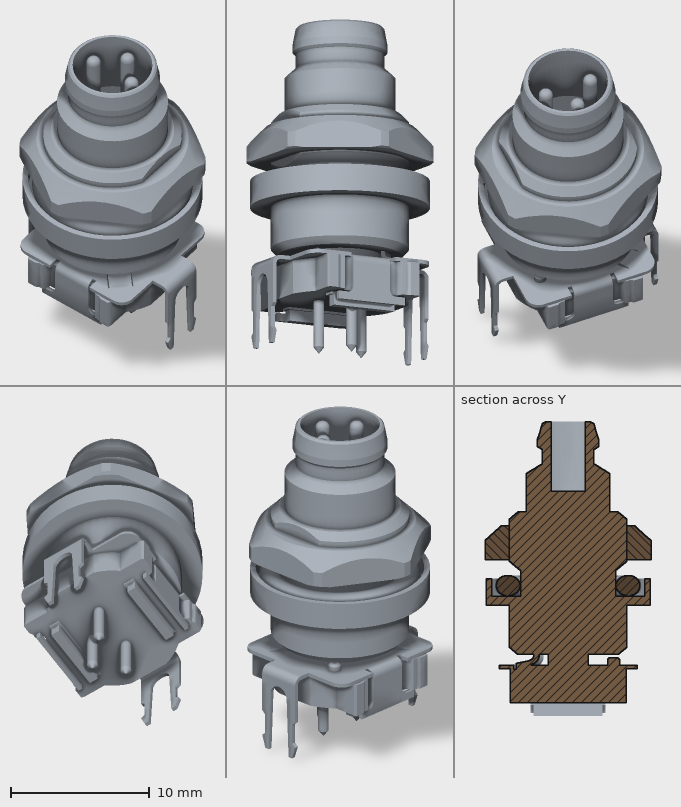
import cadquery as cq
import math

Z_AXIS = ((0, 0, 0), (0, 0, 1))

TOP = 24.15
RIM_EDGE = 24.0
LEAD_IN_END = 22.87
COLLAR_BOTTOM = 22.35
GROOVE_TOP = 22.12
GROOVE_BOTTOM = 21.1
SPIGOT_TOP = 20.38
THREAD_TOP = 17.65
NUT_TOP = 16.65
NUT_BOTTOM = 14.18
THREAD_BOTTOM = 14.08
FLANGE_TOP = 12.85
FLANGE_BOTTOM = 10.9
BARREL_BOTTOM = 7.37
PLATE_TOP = 6.6
INSERT_BOTTOM = 3.86
SOCKET_FLOOR = 19.15

RIM_TOP_RADIUS = 3.07
RIM_RADIUS = 3.2
COLLAR_RADIUS = 3.43
SPIGOT_RADIUS = 4.0
SOCKET_RADIUS = 2.87
THREAD_RADIUS = 5.0
THREAD_TOP_RADIUS = 4.45
THREAD_FLAT = 4.5
RELIEF_RADIUS = 4.32
FLANGE_RADIUS = 6.5
BARREL_CHAMFER = 0.5
NECK_RADIUS = 3.0

RING_SECTION_RADIUS = 0.75
RING_CENTER_RADIUS = RELIEF_RADIUS + RING_SECTION_RADIUS
RING_RISE = 0.22
RING_CENTER_Z = FLANGE_TOP + RING_RISE - RING_SECTION_RADIUS
RING_GROOVE_RADIUS = 6.09

NUT_ACROSS_FLATS = 12.0
NUT_ACROSS_CORNERS = 13.5
NUT_CORNER_RADIUS = NUT_ACROSS_CORNERS / 2
NUT_TOP_RADIUS = 5.48
NUT_BOTTOM_RADIUS = 6.5
NUT_BOTTOM_CHAMFER = 0.1

PIN_OFFSET = 1.75
PIN_PLACES = [(-PIN_OFFSET, 0), (0, PIN_OFFSET), (PIN_OFFSET, 0)]
CONTACT_RADIUS = 0.5
CONTACT_ROUND = 0.43
CONTACT_TOP = 23.8
TAIL_RADIUS = 0.39
TAIL_CONE_TOP = 0.48

SHEET = 0.3
BEND_RADIUS = 0.6
PLATE_HALF = 5.0
PLATE_CORNER = 1.0
PLATE_BOTTOM = PLATE_TOP - SHEET
LEG_OUTER = 6.4
LEG_HALF_WIDTH = 1.65
FLAP_OUTER = 4.78
FLAP_HALF_WIDTH = 1.5
FLAP_BAR_HALF_WIDTH = 2.7
FLAP_BAR_TOP = 3.72
FLAP_BOTTOM = 3.15
FLAP_FILLET = 0.45
FLAP_NOTCH_HALF_WIDTH = 1.8
TONGUE_HALF_WIDTH = 0.82
TONGUE_BASE_RADIUS = 4.95
TONGUE_WALL_OUTER = 3.6
TONGUE_WALL_INNER = TONGUE_WALL_OUTER - SHEET

INSERT_RADIUS = 4.95
INSERT_SIDE_FLAT = 4.7
INSERT_HALF_X = 3.77
INSERT_HALF_Y = 5.22


def ring_of_steps(points):
    """Solid of revolution about Z from (radius, z) points."""
    return cq.Workplane("XZ").polyline(points).close().revolve(360, (0, 0, 0), (0, 1, 0))


def cylinder(radius, bottom, top):
    return cq.Workplane("XY").workplane(offset=bottom).circle(radius).extrude(top - bottom)


def block(half_x, half_y, bottom, top):
    return (
        cq.Workplane("XY").workplane(offset=bottom)
        .rect(2 * half_x, 2 * half_y).extrude(top - bottom)
    )


def threaded_section():
    """Chamfered thread cylinder with two flats facing -X and +X."""
    thread = ring_of_steps([
        (0, THREAD_TOP),
        (THREAD_TOP_RADIUS, THREAD_TOP),
        (THREAD_RADIUS, THREAD_TOP - (THREAD_RADIUS - THREAD_TOP_RADIUS)),
        (THREAD_RADIUS, THREAD_BOTTOM),
        (RELIEF_RADIUS, THREAD_BOTTOM - (THREAD_RADIUS - RELIEF_RADIUS)),
        (0, THREAD_BOTTOM - (THREAD_RADIUS - RELIEF_RADIUS)),
    ])
    return thread.intersect(block(THREAD_FLAT, THREAD_RADIUS, FLANGE_TOP, THREAD_TOP))


def shell():
    """Plug spigot, threaded section, flange with ring groove, barrel and neck."""
    spigot = ring_of_steps([
        (0, TOP),
        (RIM_TOP_RADIUS, TOP),
        (RIM_RADIUS, RIM_EDGE),
        (COLLAR_RADIUS, LEAD_IN_END),
        (COLLAR_RADIUS, COLLAR_BOTTOM),
        (RIM_RADIUS, GROOVE_TOP),
        (RIM_RADIUS, GROOVE_BOTTOM),
        (SPIGOT_RADIUS, SPIGOT_TOP),
        (SPIGOT_RADIUS, THREAD_TOP),
        (0, THREAD_TOP),
    ])
    base = ring_of_steps([
        (0, THREAD_BOTTOM),
        (RELIEF_RADIUS, THREAD_BOTTOM),
        (RELIEF_RADIUS, RING_CENTER_Z - RING_SECTION_RADIUS),
        (RING_GROOVE_RADIUS, RING_CENTER_Z - RING_SECTION_RADIUS),
        (RING_GROOVE_RADIUS, FLANGE_TOP),
        (FLANGE_RADIUS, FLANGE_TOP),
        (FLANGE_RADIUS, FLANGE_BOTTOM),
        (THREAD_RADIUS, FLANGE_BOTTOM),
        (THREAD_RADIUS, BARREL_BOTTOM + BARREL_CHAMFER),
        (THREAD_RADIUS - BARREL_CHAMFER, BARREL_BOTTOM),
        (NECK_RADIUS, BARREL_BOTTOM),
        (NECK_RADIUS, PLATE_BOTTOM),
        (0, PLATE_BOTTOM),
    ])
    socket = cylinder(SOCKET_RADIUS, SOCKET_FLOOR, TOP)
    return spigot.union(threaded_section()).union(base).cut(socket)


def contacts():
    """Three domed plug pins in the socket, each with a pointed solder tail."""
    parts = cq.Workplane("XY")
    for place in PIN_PLACES:
        plug = (
            cylinder(CONTACT_RADIUS, SOCKET_FLOOR, CONTACT_TOP)
            .faces(">Z").edges().fillet(CONTACT_ROUND)
        )
        tail = ring_of_steps([
            (0, 0), (TAIL_RADIUS, TAIL_CONE_TOP),
            (TAIL_RADIUS, PLATE_BOTTOM), (0, PLATE_BOTTOM),
        ])
        for piece in (plug, tail):
            parts = parts.add(piece.translate((*place, 0)))
    return parts


def bent_strip(outer_face, half_width, bottom):
    """Strip that leaves the plate toward +Y and bends down to the given level."""
    bend_start = outer_face - BEND_RADIUS
    bend_end = PLATE_TOP - BEND_RADIUS
    inner_bend = BEND_RADIUS - SHEET
    diagonal = math.sqrt(0.5)
    root = PLATE_HALF - PLATE_CORNER
    return (
        cq.Workplane("YZ").workplane(offset=-half_width)
        .moveTo(root, PLATE_TOP)
        .lineTo(bend_start, PLATE_TOP)
        .threePointArc(
            (bend_start + BEND_RADIUS * diagonal, bend_end + BEND_RADIUS * diagonal),
            (outer_face, bend_end),
        )
        .lineTo(outer_face, bottom)
        .lineTo(outer_face - SHEET, bottom)
        .lineTo(outer_face - SHEET, bend_end)
        .threePointArc(
            (bend_start + inner_bend * diagonal, bend_end + inner_bend * diagonal),
            (bend_start, PLATE_BOTTOM),
        )
        .lineTo(root, PLATE_BOTTOM)
        .close()
        .extrude(2 * half_width)
    )


def leg():
    """Forked board-lock leg, facing +Y: two prongs with a waist and a barb each."""
    bottom = 0.17
    barb_level = 1.1
    waist_bottom = 1.35
    waist_top = 2.83
    shoulder = 3.07
    waist_half_width = 1.35
    tip_half_width = 1.33
    slot_radius = 0.8
    slot_center_z = 4.64
    slot_foot_half_width = 1.0

    def outline(side):
        return [
            (side * LEG_HALF_WIDTH, shoulder),
            (side * waist_half_width, waist_top),
            (side * waist_half_width, waist_bottom),
            (side * LEG_HALF_WIDTH, barb_level),
            (side * tip_half_width, bottom),
        ]

    blank = (
        cq.Workplane("XZ")
        .polyline([
            (-LEG_HALF_WIDTH, PLATE_TOP), *outline(-1),
            *reversed(outline(1)), (LEG_HALF_WIDTH, PLATE_TOP),
        ])
        .close().extrude(-LEG_OUTER)
    )
    slot = (
        cq.Workplane("XZ")
        .moveTo(-slot_foot_half_width, bottom)
        .lineTo(-slot_radius, slot_center_z)
        .threePointArc((0, slot_center_z + slot_radius), (slot_radius, slot_center_z))
        .lineTo(slot_foot_half_width, bottom)
        .close().extrude(-LEG_OUTER)
    )
    return bent_strip(LEG_OUTER, LEG_HALF_WIDTH, bottom).intersect(blank.cut(slot))


def flap():
    """Shield flap facing +Y, widening into a crossbar at its foot."""
    outline = (
        cq.Workplane("XZ")
        .moveTo(-FLAP_HALF_WIDTH, PLATE_TOP)
        .lineTo(-FLAP_HALF_WIDTH, FLAP_BAR_TOP)
        .lineTo(-FLAP_BAR_HALF_WIDTH, FLAP_BAR_TOP)
        .lineTo(-FLAP_BAR_HALF_WIDTH, FLAP_BOTTOM)
        .lineTo(FLAP_BAR_HALF_WIDTH, FLAP_BOTTOM)
        .lineTo(FLAP_BAR_HALF_WIDTH, FLAP_BAR_TOP)
        .lineTo(FLAP_HALF_WIDTH, FLAP_BAR_TOP)
        .lineTo(FLAP_HALF_WIDTH, PLATE_TOP)
        .close().extrude(-FLAP_OUTER)
    )
    for side in (-1, 1):
        corner = (side * FLAP_HALF_WIDTH, FLAP_OUTER / 2, FLAP_BAR_TOP)
        outline = outline.edges(cq.NearestToPointSelector(corner)).fillet(FLAP_FILLET)
    return bent_strip(FLAP_OUTER, FLAP_BAR_HALF_WIDTH, FLAP_BOTTOM).intersect(outline)


def spring_tongue():
    """Tongue on the +X axis that ramps up from the plate and bends up to the barrel."""
    ramp_top = 6.98
    inside_bend = 0.4
    tongue = (
        cq.Workplane("XZ").workplane(offset=-TONGUE_HALF_WIDTH)
        .polyline([
            (TONGUE_BASE_RADIUS, PLATE_TOP),
            (TONGUE_WALL_OUTER, ramp_top),
            (TONGUE_WALL_OUTER, BARREL_BOTTOM),
            (TONGUE_WALL_INNER, BARREL_BOTTOM),
            (TONGUE_WALL_INNER, ramp_top - SHEET),
            (TONGUE_BASE_RADIUS, PLATE_BOTTOM),
        ])
        .close().extrude(2 * TONGUE_HALF_WIDTH)
    )
    bends = [
        (TONGUE_WALL_OUTER, ramp_top, inside_bend),
        (TONGUE_WALL_INNER, ramp_top - SHEET, inside_bend + SHEET),
    ]
    for radius, level, bend in bends:
        tongue = tongue.edges(cq.NearestToPointSelector((radius, 0, level))).fillet(bend)
    return tongue


def tongue_reliefs():
    """Slits through the plate along both sides of the tongue on the +X axis."""
    slit_width = 0.1
    slit_overrun = 0.15
    length = TONGUE_BASE_RADIUS + slit_overrun - TONGUE_WALL_INNER
    middle = TONGUE_WALL_INNER + length / 2
    offset = TONGUE_HALF_WIDTH + slit_width / 2
    return (
        cq.Workplane("XY").workplane(offset=PLATE_BOTTOM)
        .pushPoints([(middle, -offset), (middle, offset)])
        .rect(length, slit_width).extrude(SHEET)
    )


def shield():
    """Square plate with two forked legs, two flaps and two diagonal spring tongues."""
    plate = block(PLATE_HALF, PLATE_HALF, PLATE_BOTTOM, PLATE_TOP).edges("|Z").fillet(PLATE_CORNER)
    notch_start = FLAP_OUTER - BEND_RADIUS
    notch_depth = PLATE_HALF - notch_start
    notches = (
        cq.Workplane("XY").workplane(offset=PLATE_BOTTOM)
        .pushPoints([(0, side * (notch_start + notch_depth / 2)) for side in (-1, 1)])
        .rect(2 * FLAP_NOTCH_HALF_WIDTH, notch_depth).extrude(SHEET)
    )
    plate = plate.cut(notches)
    for turn in (0, 180):
        plate = (
            plate
            .union(flap().rotate(*Z_AXIS, turn))
            .union(leg().rotate(*Z_AXIS, turn + 90))
            .cut(tongue_reliefs().rotate(*Z_AXIS, turn - 45))
            .union(spring_tongue().rotate(*Z_AXIS, turn - 45))
        )
    return plate


def insert():
    """Insulating insert with flap recesses, foot ledges and two rivet studs."""
    edge_chamfer_x = 0.1
    edge_chamfer_y = 0.2
    chamfer_x = INSERT_HALF_X - edge_chamfer_x
    chamfer_y = INSERT_HALF_Y - edge_chamfer_y
    core = cylinder(INSERT_RADIUS, INSERT_BOTTOM, PLATE_BOTTOM).intersect(
        block(INSERT_SIDE_FLAT, INSERT_RADIUS, INSERT_BOTTOM, PLATE_BOTTOM)
    )
    ends = (
        cq.Workplane("XY").workplane(offset=INSERT_BOTTOM)
        .polyline([
            (-INSERT_HALF_X, -chamfer_y), (-chamfer_x, -INSERT_HALF_Y),
            (chamfer_x, -INSERT_HALF_Y), (INSERT_HALF_X, -chamfer_y),
            (INSERT_HALF_X, chamfer_y), (chamfer_x, INSERT_HALF_Y),
            (-chamfer_x, INSERT_HALF_Y), (-INSERT_HALF_X, chamfer_y),
        ])
        .close().extrude(PLATE_BOTTOM - INSERT_BOTTOM)
    )
    body = core.union(ends)
    for turn in (0, 180):
        body = (
            body.cut(flap_recess().rotate(*Z_AXIS, turn))
            .union(foot_ledge().rotate(*Z_AXIS, turn))
            .union(rivet_stud().rotate(*Z_AXIS, turn))
        )
    return body


def flap_recess():
    """Two-step recess with sloping walls behind the flap on the +Y side."""
    mouth = 2.97
    step_outer = 2.75
    step_inner = 2.4
    floor_half_width = 2.15
    step_depth = 0.15
    step_y = INSERT_HALF_Y - step_depth
    floor_y = FLAP_OUTER - SHEET
    return (
        cq.Workplane("XY").workplane(offset=INSERT_BOTTOM)
        .polyline([
            (-mouth, INSERT_HALF_Y), (-step_outer, step_y), (-step_inner, step_y),
            (-floor_half_width, floor_y), (floor_half_width, floor_y),
            (step_inner, step_y), (step_outer, step_y), (mouth, INSERT_HALF_Y),
        ])
        .close().extrude(PLATE_BOTTOM - INSERT_BOTTOM)
    )


def foot_ledge():
    """Stepped ledge under the insert on the +Y side, behind the flap crossbar."""
    ledge_outer = 3.65
    step_inner = 2.83
    foot_inner = 2.97
    step_bottom = 3.7
    foot_bottom = 2.9
    foot_half_width = 2.49
    step = block(FLAP_BAR_HALF_WIDTH, (ledge_outer - step_inner) / 2, step_bottom, INSERT_BOTTOM)
    foot = block(foot_half_width, (ledge_outer - foot_inner) / 2, foot_bottom, step_bottom)
    return step.translate((0, (ledge_outer + step_inner) / 2, 0)).union(
        foot.translate((0, (ledge_outer + foot_inner) / 2, 0))
    )


def rivet_stud():
    """Chamfered stud that passes up through the plate."""
    place = (3.28, 2.6, 0)
    radius = 0.45
    stud_top = 7.12
    chamfer = 0.15
    stud = cylinder(radius, PLATE_BOTTOM, stud_top).faces(">Z").edges().chamfer(chamfer)
    return stud.translate(place)


def make_connector():
    """Shell, insert, shield and contacts as one body."""
    connector = shell().union(insert()).union(shield())
    for piece in contacts().vals():
        connector = connector.union(cq.Workplane(piece))
    return connector


def make_nut():
    """Hexagon nut with flats facing -X and +X; its bore fits the flattened thread."""
    height = NUT_TOP - NUT_BOTTOM
    sides = 6
    half_side_angle = 180 / sides
    sharp_diameter = NUT_ACROSS_FLATS / math.cos(math.radians(half_side_angle))
    hexagon = (
        cq.Workplane("XY").workplane(offset=NUT_BOTTOM)
        .polygon(sides, sharp_diameter).extrude(height)
        .rotate(*Z_AXIS, half_side_angle)
    )
    envelope = ring_of_steps([
        (0, NUT_BOTTOM),
        (NUT_BOTTOM_RADIUS, NUT_BOTTOM),
        (NUT_CORNER_RADIUS, NUT_BOTTOM + NUT_BOTTOM_CHAMFER),
        (NUT_CORNER_RADIUS, NUT_TOP - (NUT_CORNER_RADIUS - NUT_TOP_RADIUS)),
        (NUT_TOP_RADIUS, NUT_TOP),
        (0, NUT_TOP),
    ])
    return hexagon.intersect(envelope).cut(threaded_section())


def make_sealing_ring():
    """Round-section ring that hugs the relief and rests on the flange groove floor."""
    return (
        cq.Workplane("XZ").center(RING_CENTER_RADIUS, RING_CENTER_Z).circle(RING_SECTION_RADIUS)
        .revolve(360, (-RING_CENTER_RADIUS, 0, 0), (-RING_CENTER_RADIUS, 1, 0))
    )


connector = make_connector()
nut = make_nut()
sealing_ring = make_sealing_ring()
result = cq.Compound.makeCompound([connector.val(), nut.val(), sealing_ring.val()])